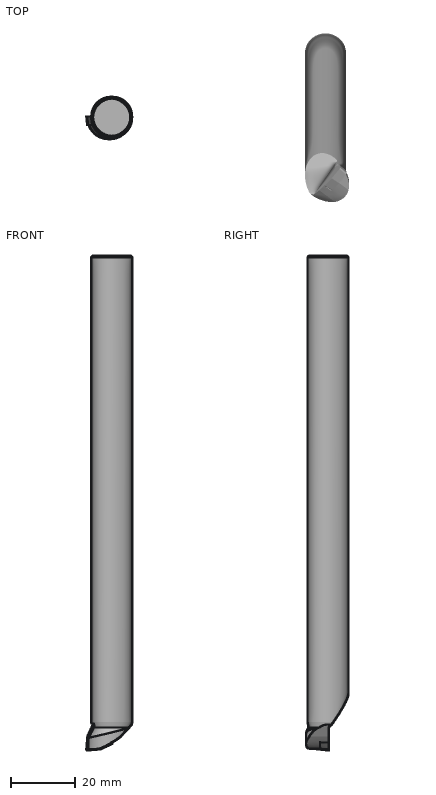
import cadquery as cq
import math


bar_top = 153.6
shank_radius = 12.8 / 2
top_chamfer = 0.6
shank_bottom = 8.8

neck_radius = 6.07
neck_bottom = 7.2
flare_bottom = 3.8
head_radius = 6.84
head_shift = -0.8
flare_radius = head_radius - head_shift

relief_outer = (6.5, 8.3)
relief_middle = (2.8, 4.3)
relief_arc_mid = (-0.5, 2.2)
relief_inner = (-3.7, 0.6)
relief_tip_z = 0.3

chip_floor_y = 0.3
runout_height = 9.4
runout_slope_x = -0.45
runout_slope_y = 1.3

insert_top_y = 0.3
insert_thickness = 2.8
insert_radius = 3.2
corner_angle = 80.0
clearance_angle = 5.0
nose_radius = 0.5
tip_x = -7.91
tip_z = 0.0
tip_direction = 225.0

reach = 18.5

half_corner = math.radians(corner_angle / 2)
tip_distance = insert_radius / math.sin(half_corner)
kink_distance = insert_radius / math.cos(half_corner - math.radians(30))
nose_offset = (insert_radius - nose_radius) / math.sin(half_corner)
insert_x = tip_x + nose_radius - nose_offset * math.cos(math.radians(tip_direction))
insert_z = tip_z + nose_radius - nose_offset * math.sin(math.radians(tip_direction))
seat_y = insert_top_y - insert_thickness


def insert_point(distance, angle):
    """Point at a polar position about the insert centre."""
    turn = math.radians(tip_direction + angle)
    return (insert_x + distance * math.cos(turn), insert_z + distance * math.sin(turn))


def plane_at(y):
    """XZ plane at the given y; extrusion runs toward -Y."""
    return cq.Workplane("XZ", origin=(0, y, 0))


def make_insert():
    outline = []
    for angle in (0, 120, 240):
        outline.append(insert_point(tip_distance, angle))
        outline.append(insert_point(kink_distance, angle + 60))
    sharp = plane_at(insert_top_y).polyline(outline).close()
    body = sharp.extrude(insert_thickness, taper=clearance_angle)
    corner_limit = (tip_distance + kink_distance) / 2
    corners = []
    for edge in body.edges().vals():
        middle = edge.Center()
        runs_through = abs(edge.tangentAt(0).y) > 0.5
        if runs_through and math.hypot(middle.x - insert_x, middle.z - insert_z) > corner_limit:
            corners.append(edge)
    return body.newObject(corners).fillet(nose_radius)


def make_blank():
    """Shank, necked in and flared out again to the offset head."""
    profile = (
        cq.Workplane("XZ")
        .moveTo(0, 0)
        .lineTo(flare_radius, 0)
        .lineTo(flare_radius, flare_bottom)
        .lineTo(neck_radius, neck_bottom)
        .lineTo(shank_radius, shank_bottom)
        .lineTo(shank_radius, bar_top - top_chamfer)
        .lineTo(shank_radius - top_chamfer, bar_top)
        .lineTo(0, bar_top)
        .close()
        .revolve(360, (0, 0, 0), (0, 1, 0))
    )
    outside_head = (
        cq.Workplane("XY")
        .center(head_shift, 0)
        .circle(reach)
        .circle(head_radius)
        .extrude(neck_bottom)
    )
    return profile.cut(outside_head)


def make_relief():
    """Everything below the clearance curve of the head."""
    return (
        plane_at(reach)
        .moveTo(-reach, relief_tip_z)
        .lineTo(tip_x, relief_tip_z)
        .lineTo(*relief_inner)
        .threePointArc(relief_arc_mid, relief_middle)
        .lineTo(*relief_outer)
        .lineTo(reach, relief_outer[1])
        .lineTo(reach, -reach)
        .lineTo(-reach, -reach)
        .close()
        .extrude(2 * reach)
    )


def make_chip_space():
    """Space above the chip floor and below the oblique runout plane."""
    below_runout = cq.Workplane(
        cq.Plane(
            origin=(0, 0, runout_height),
            xDir=(1, 0, runout_slope_x),
            normal=(runout_slope_x, runout_slope_y, -1),
        )
    ).rect(4 * reach, 4 * reach).extrude(2 * reach)
    above_floor = plane_at(chip_floor_y).rect(4 * reach, 4 * reach).extrude(-reach)
    return above_floor.intersect(below_runout)


def make_pocket():
    """Insert seat, open toward the two cutting sides."""
    upper = insert_point(tip_distance, -120)
    inner_kink = insert_point(kink_distance, 180)
    right = insert_point(tip_distance, 120)
    return (
        plane_at(seat_y)
        .polyline([upper, inner_kink, right, (right[0], -reach), (-reach, -reach), (-reach, upper[1])])
        .close()
        .extrude(seat_y - reach)
    )


def make_bar():
    blank = make_blank()
    return blank.cut(make_relief()).cut(make_chip_space()).cut(make_pocket())


bar = make_bar()
insert = make_insert()

result = cq.Compound.makeCompound([bar.solids().val(), insert.solids().val()])